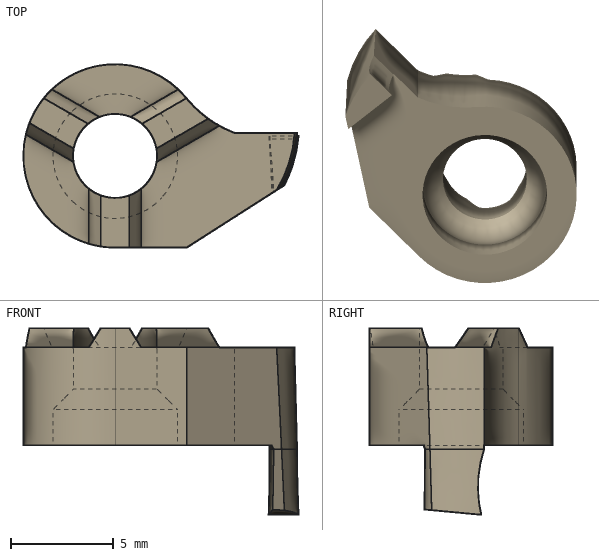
import cadquery as cq
import math

hub_radius = 4.49
seat_height = 4.8
rib_height = 0.95
top_height = seat_height + rib_height

arm_corner_x = 3.51
flank_angle = 32.6
arm_back_y = 1.13
arm_back_start_x = 5.84
neck_start_x = 3.51
neck_radius = 5.02
arm_reach = 10.79

relief_x = 2.71
relief_y = 1.48
relief_top_radius = 6.08
relief_tip_radius = 6.3

rib_angles = [30, 150, 270]
rib_base_width = 2.55
rib_top_width = 1.4

hole_radius = 2.05
counterbore_radius = 3.05
hole_seat_height = 2.77
counterbore_depth = hole_seat_height - (counterbore_radius - hole_radius)

tip_z = -3.4
blade_top_z = -0.19
inner_back_x = 7.55
inner_front_x = 7.77
root_front_x = 7.66
inner_lean = 0.05
groove_mid_y = 0.84
groove_mid_z = -1.89
groove_end_y = 1.0
tip_front_z = -3.14
tip_front_y = -1.77


def flank_y(x):
    return -hub_radius + (x - arm_corner_x) * math.tan(math.radians(flank_angle))


def make_outline(height):
    """Prism of the hub and arm, up from Z = 0."""
    neck_start_y = math.sqrt(hub_radius**2 - neck_start_x**2)
    centre_ratio = (hub_radius + neck_radius) / hub_radius
    neck_centre_x = neck_start_x * centre_ratio
    neck_centre_y = neck_start_y * centre_ratio
    start_angle = math.atan2(neck_start_y - neck_centre_y, neck_start_x - neck_centre_x)
    end_angle = math.atan2(arm_back_y - neck_centre_y, arm_back_start_x - neck_centre_x)
    mid_angle = (start_angle + end_angle) / 2
    neck_mid = (
        neck_centre_x + neck_radius * math.cos(mid_angle),
        neck_centre_y + neck_radius * math.sin(mid_angle),
    )
    return (
        cq.Workplane("XY")
        .moveTo(0, -hub_radius)
        .lineTo(arm_corner_x, -hub_radius)
        .lineTo(arm_reach, flank_y(arm_reach))
        .lineTo(arm_reach, arm_back_y)
        .lineTo(arm_back_start_x, arm_back_y)
        .threePointArc(neck_mid, (neck_start_x, neck_start_y))
        .threePointArc((-hub_radius, 0), (0, -hub_radius))
        .close()
        .extrude(height)
    )


def make_relief_cone():
    return cq.Workplane(
        cq.Solid.makeCone(
            relief_tip_radius,
            relief_top_radius,
            seat_height - tip_z,
            pnt=cq.Vector(relief_x, relief_y, tip_z),
        )
    )


def make_ribs():
    """Tapered radial ribs, trimmed to the outline of the part."""
    profile = [
        (-rib_base_width / 2, seat_height),
        (rib_base_width / 2, seat_height),
        (rib_top_width / 2, top_height),
        (-rib_top_width / 2, top_height),
    ]
    outline = make_outline(top_height)
    rib = cq.Workplane("YZ").polyline(profile).close().extrude(2 * hub_radius)
    return [rib.rotate((0, 0, 0), (0, 0, 1), angle).intersect(outline) for angle in rib_angles]


def make_screw_hole():
    return (
        cq.Workplane("XZ")
        .polyline([
            (0, 0),
            (counterbore_radius, 0),
            (counterbore_radius, counterbore_depth),
            (hole_radius, hole_seat_height),
            (hole_radius, top_height),
            (0, top_height),
        ])
        .close()
        .revolve(360, (0, 0, 0), (0, 1, 0))
    )


def blade_section(back_x, front_x):
    """Plan section beyond the inner face, extended past the back and the flank."""
    run_x = front_x - back_x
    run_y = flank_y(front_x) - arm_back_y
    return [
        (back_x - run_x, arm_back_y - run_y),
        (front_x + run_x, flank_y(front_x) + run_y),
        (arm_reach, flank_y(front_x) + run_y),
        (arm_reach, arm_back_y - run_y),
    ]


def make_blade_prism(upper, lower, upper_z, lower_z):
    """Loft between two sections, trimmed by the back, flank and relief of the arm."""
    prism = (
        cq.Workplane("XY", origin=(0, 0, upper_z))
        .polyline(upper)
        .close()
        .workplane(offset=lower_z - upper_z)
        .polyline(lower)
        .close()
        .loft(ruled=True)
    )
    arm = make_outline(-tip_z).translate((0, 0, tip_z))
    return arm.intersect(make_relief_cone()).intersect(prism)


def make_holder():
    uncut_zone = (
        cq.Workplane("XY")
        .rect(4 * hub_radius, 4 * hub_radius)
        .extrude(seat_height)
        .translate((inner_back_x - 2 * hub_radius, 0, 0))
    )
    holder = make_outline(seat_height).intersect(make_relief_cone().union(uncut_zone))
    for rib in make_ribs():
        holder = holder.union(rib)
    holder = holder.cut(make_screw_hole())
    root = make_blade_prism(
        blade_section(inner_back_x, root_front_x),
        blade_section(inner_back_x, inner_front_x),
        0,
        blade_top_z,
    )
    return holder.union(root)


def make_blade():
    upper = blade_section(inner_back_x, inner_front_x)
    lower = blade_section(inner_back_x - inner_lean, inner_front_x - inner_lean)
    blade = make_blade_prism(upper, lower, blade_top_z, tip_z)
    side_profile = (
        cq.Workplane("YZ")
        .moveTo(arm_back_y, blade_top_z)
        .threePointArc((groove_mid_y, groove_mid_z), (groove_end_y, tip_z))
        .lineTo(tip_front_y, tip_front_z)
        .lineTo(-hub_radius, tip_front_z)
        .lineTo(-hub_radius, blade_top_z)
        .close()
        .extrude(arm_reach)
    )
    return blade.intersect(side_profile)


holder = make_holder()
blade = make_blade()
result = cq.Compound.makeCompound([holder.val(), blade.val()])